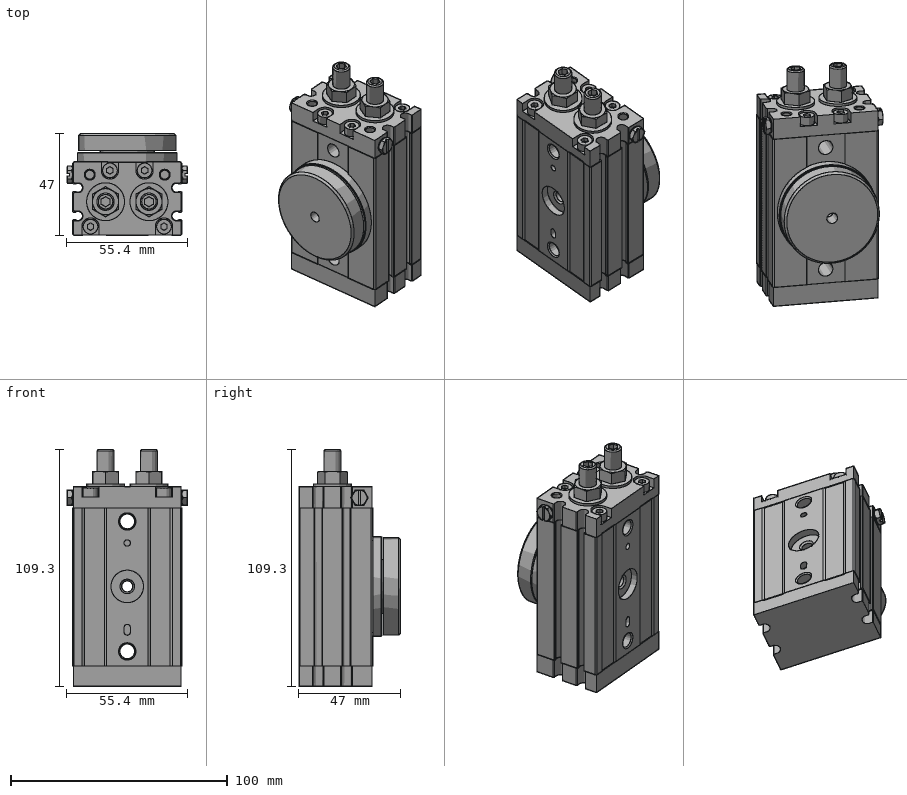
import cadquery as cq
import math


body_width = 50.3
body_depth = 34.1
body_bottom = 9.4
body_top = 82.3
body_length = body_top - body_bottom
front_chamfer = 0.7
rear_chamfer = 0.9

front_groove_inner = 9.5
front_groove_outer = 20.8
front_groove_depth = 0.5
front_groove_slope = 1.1
rear_groove_width = 18.0
rear_groove_depth = 0.4

cap_width = 49.6
cap_front = 0.1
cap_rear = 33.8
cap_depth = cap_rear - cap_front
cap_top = 92.1
cap_center_y = (cap_front + cap_rear) / 2

slot_rows_y = (9.0, 22.0)
slot_center_x = 22.7
slot_diameter = 4.2
slot_mouth_width = 3.4
slot_mouth_flare = 0.3
cap_slot_width = 4.6
cap_slot_flare = 0.4

axis_z = 46.1
flange_diameter = 46.0
flange_face = 38.3
flange_chamfer = 0.3
table_diameter = 45.0
table_underside = 39.0
table_face = 47.0
table_chamfer = 1.0
neck_diameter = 25.0
bore_diameter = 5.0
bore_mouth_diameter = 6.7
recess_diameter = 15.0
recess_depth = 3.3

mount_pitch = 30.0
mount_diameter = 6.8
mount_mouth_diameter = 8.0
locating_pitch = 20.0
locating_width = 3.0
locating_slot_length = 5.0
locating_depth = 3.3

rod_pitch = 20.0
rod_x = rod_pitch / 2
rod_y = 15.5
rod_diameter = 8.0
rod_top = 109.3
rod_chamfer = 0.7
rod_socket_flats = 4.0
rod_socket_depth = 3.3
washer_diameter = 17.5
washer_top = 93.3
nut_flats = 12.0
nut_top = 99.1
nut_chamfer = 0.3

front_screw_x = 16.9
front_screw_y = 4.0
rear_screw_x = 8.0
rear_screw_y = 30.0
pocket_width = 8.0
pocket_floor = 87.4
screw_head_diameter = 6.8
screw_head_top = 91.5
screw_socket_flats = 3.0
screw_socket_depth = 2.0

port_x = 17.3
port_y = 28.0
port_diameter = 4.2
port_mouth_diameter = 5.0
port_depth = 5.5
plug_z = 87.0
plug_flats = 7.0
plug_span = 55.4
plug_outer_x = plug_span / 2
plug_inner_x = 25.2
plug_neck_diameter = 6.7
plug_outer_chamfer = 0.2
plug_inner_chamfer = 0.5
plug_slot_width = 1.0
plug_slot_depth = 1.0


def across_corners(flats):
    return flats / math.cos(math.radians(30))


def corner_trim(flats):
    """Radial distance by which the corners of a hexagon stand out from its flats."""
    return (across_corners(flats) - flats) / 2


def hexagon_z(flats, bottom, top):
    """Hexagonal prism along Z with two flats facing +X and -X."""
    base = cq.Workplane("XY").workplane(offset=bottom)
    prism = base.polygon(6, across_corners(flats)).extrude(top - bottom)
    return prism.rotate((0, 0, 0), (0, 0, 1), 30)


def cylinder_z(diameter, bottom, top):
    return cq.Workplane("XY").workplane(offset=bottom).circle(diameter / 2).extrude(top - bottom)


def cylinder_y(diameter, near, far, z=axis_z):
    """Cylinder along +Y centred on X = 0 at height z."""
    return cq.Workplane("XZ", origin=(0, near, z)).circle(diameter / 2).extrude(near - far)


def countersink(diameter, mouth_diameter):
    """45-degree cone along +Z, with its mouth at Z = 0."""
    depth = (mouth_diameter - diameter) / 2
    return cq.Workplane("XY").add(cq.Solid.makeCone(mouth_diameter / 2, diameter / 2, depth))


def front_countersink(diameter, mouth_diameter, y, z):
    """Countersink that opens toward -Y."""
    return countersink(diameter, mouth_diameter).rotate((0, 0, 0), (1, 0, 0), -90).translate((0, y, z))


def slot_mouth(half_outer, half_inner, wall_x, flare):
    """Outline of a flared slot mouth from the slot centre out to the wall at -X."""
    return [
        (-slot_center_x, half_inner),
        (flare - wall_x, half_inner),
        (-wall_x, half_outer),
        (-wall_x, -half_outer),
        (flare - wall_x, -half_inner),
        (-slot_center_x, -half_inner),
    ]


def side_slots(diameter, mouth_width, wall_x, flare, bottom, top):
    """Two round-bottomed slots on each side, open to the wall."""
    half_inner = mouth_width / 2
    outline = slot_mouth(half_inner + flare, half_inner, wall_x, flare)
    mouth = cq.Workplane("XY").workplane(offset=bottom).polyline(outline).close().extrude(top - bottom)
    slot = mouth.union(cylinder_z(diameter, bottom, top).translate((-slot_center_x, 0, 0)))
    slots = cq.Workplane("XY")
    for y in slot_rows_y:
        left = slot.translate((0, y, 0))
        slots = slots.add(left).add(left.mirror("YZ"))
    return slots.combine()


def front_groove():
    """Shallow groove with sloped sides on the +X half of the front face."""
    outline = [
        (front_groove_inner, 0),
        (front_groove_inner + front_groove_slope, front_groove_depth),
        (front_groove_outer - front_groove_slope, front_groove_depth),
        (front_groove_outer, 0),
    ]
    return cq.Workplane("XY").workplane(offset=body_bottom).polyline(outline).close().extrude(body_length)


def make_profile_body():
    body = (
        cq.Workplane("XY", origin=(0, body_depth / 2, body_bottom))
        .rect(body_width, body_depth)
        .extrude(body_length)
        .edges("|Z and <Y")
        .chamfer(front_chamfer)
        .edges("|Z and >Y")
        .chamfer(rear_chamfer)
    )
    groove = front_groove()
    rear_groove = (
        cq.Workplane("XY", origin=(0, body_depth, body_bottom))
        .rect(rear_groove_width, 2 * rear_groove_depth)
        .extrude(body_length)
    )
    slots = side_slots(
        slot_diameter, slot_mouth_width, body_width / 2, slot_mouth_flare, body_bottom, body_top
    )
    return body.cut(groove).cut(groove.mirror("YZ")).cut(rear_groove).cut(slots)


def make_cap(bottom, top):
    base = cq.Workplane("XY", origin=(0, cap_center_y, bottom))
    cap = base.rect(cap_width, cap_depth).extrude(top - bottom)
    slots = side_slots(cap_slot_width, cap_slot_width, cap_width / 2, cap_slot_flare, bottom, top)
    return cap.cut(slots)


def make_flange():
    flange = cylinder_y(flange_diameter, body_depth - rear_groove_depth, flange_face)
    return flange.faces(">Y").chamfer(flange_chamfer)


def mounting_hole(z):
    hole = cylinder_y(mount_diameter, 0, body_depth, z)
    return hole.union(front_countersink(mount_diameter, mount_mouth_diameter, 0, z))


def locating_holes():
    round_hole = cylinder_y(locating_width, 0, locating_depth, axis_z + locating_pitch)
    slotted_hole = (
        cq.Workplane("XZ", origin=(0, 0, axis_z - locating_pitch))
        .slot2D(locating_slot_length, locating_width, 90)
        .extrude(-locating_depth)
    )
    return round_hole.add(slotted_hole).combine()


def center_bore():
    """Recess in the front face with the countersunk bore behind it."""
    recess = cylinder_y(recess_diameter, 0, recess_depth)
    bore = cylinder_y(bore_diameter, 0, table_face)
    mouth = front_countersink(bore_diameter, bore_mouth_diameter, recess_depth, axis_z)
    return recess.union(bore).union(mouth)


def make_adjuster():
    """Rod, nut and washer standing on the top cap."""
    rod = cylinder_z(rod_diameter, cap_top, rod_top).faces(">Z").chamfer(rod_chamfer)
    rod = rod.cut(hexagon_z(rod_socket_flats, rod_top - rod_socket_depth, rod_top))
    nut_round = cylinder_z(across_corners(nut_flats), washer_top, nut_top)
    nut_round = nut_round.faces(">Z").chamfer(nut_chamfer, corner_trim(nut_flats))
    nut = hexagon_z(nut_flats, washer_top, nut_top).intersect(nut_round)
    return cylinder_z(washer_diameter, cap_top, washer_top).union(nut).union(rod)


def screw_pocket(x, y, wall_y):
    """Round counterbore that opens through the wall at wall_y."""
    height = cap_top - pocket_floor
    opening = cq.Workplane("XY", origin=(x, (y + wall_y) / 2, pocket_floor))
    opening = opening.rect(pocket_width, abs(wall_y - y)).extrude(height)
    return cylinder_z(pocket_width, pocket_floor, cap_top).translate((x, y, 0)).union(opening)


def make_screw_head():
    head = cylinder_z(screw_head_diameter, pocket_floor, screw_head_top)
    return head.cut(hexagon_z(screw_socket_flats, screw_head_top - screw_socket_depth, screw_head_top))


def port_hole():
    hole = cylinder_z(port_diameter, cap_top - port_depth, cap_top)
    mouth = countersink(port_diameter, port_mouth_diameter).mirror("XY").translate((0, 0, cap_top))
    return hole.union(mouth)


def make_plug():
    """Slotted hexagon plug on the -X side of the top cap, with its corners chamfered at both ends."""
    head_length = plug_outer_x - plug_inner_x
    head = cq.Workplane("YZ", origin=(-plug_outer_x, port_y, plug_z))
    blank = head.circle(across_corners(plug_flats) / 2).extrude(head_length)
    blank = blank.faces("<X").chamfer(plug_outer_chamfer, corner_trim(plug_flats))
    blank = blank.faces(">X").chamfer(plug_inner_chamfer, corner_trim(plug_flats))
    hexagon = head.polygon(6, across_corners(plug_flats)).extrude(head_length)
    screwdriver_slot = head.rect(plug_slot_width, 2 * plug_flats).extrude(plug_slot_depth)
    neck = head.circle(plug_neck_diameter / 2).extrude(plug_outer_x - cap_width / 2)
    return hexagon.intersect(blank).union(neck).cut(screwdriver_slot)


def make_housing():
    housing = make_profile_body().union(make_cap(0, body_bottom)).union(make_cap(body_top, cap_top))
    housing = housing.union(make_flange()).cut(center_bore()).cut(locating_holes())
    for z in (axis_z - mount_pitch, axis_z + mount_pitch):
        housing = housing.cut(mounting_hole(z))

    adjuster = make_adjuster()
    screw_head = make_screw_head()
    port = port_hole()
    for side in (-1, 1):
        housing = housing.cut(screw_pocket(side * front_screw_x, front_screw_y, cap_front))
        housing = housing.cut(screw_pocket(side * rear_screw_x, rear_screw_y, cap_rear))
        housing = housing.union(screw_head.translate((side * front_screw_x, front_screw_y, 0)))
        housing = housing.union(screw_head.translate((side * rear_screw_x, rear_screw_y, 0)))
        housing = housing.union(adjuster.translate((side * rod_x, rod_y, 0)))
        housing = housing.cut(port.translate((side * port_x, port_y, 0)))

    plug = make_plug()
    return housing.union(plug).union(plug.mirror("YZ"))


def make_table():
    """Round table with a narrower neck that stands on the flange."""
    disc = cylinder_y(table_diameter, table_underside, table_face).faces(">Y").chamfer(table_chamfer)
    neck = cylinder_y(neck_diameter, flange_face, table_underside)
    return disc.union(neck).cut(cylinder_y(bore_diameter, flange_face, table_face))


housing = make_housing()
table = make_table()
result = cq.Compound.makeCompound([housing.val(), table.val()])